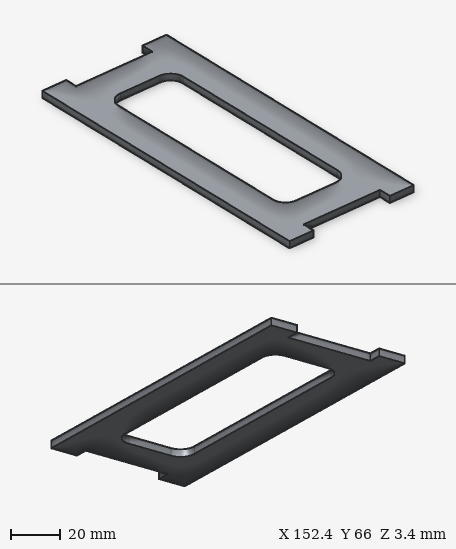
import cadquery as cq

length = 152.4
width = 66.0
thickness = 3.4

notch_depth = 6.1
notch_width = 40.5

window_length = 108.4
window_width = 34.3
window_corner_radius = 6.7


def end_notch(side):
    """Cutter for the notch in the short end at side = -1 or +1 along X."""
    return (
        cq.Workplane("XY")
        .center(side * length / 2, 0)
        .box(2 * notch_depth, notch_width, thickness)
    )


def window():
    """Cutter for the through window with rounded corners."""
    return (
        cq.Workplane("XY")
        .box(window_length, window_width, thickness)
        .edges("|Z")
        .fillet(window_corner_radius)
    )


result = cq.Workplane("XY").box(length, width, thickness).cut(window())
for side in (-1, 1):
    result = result.cut(end_notch(side))